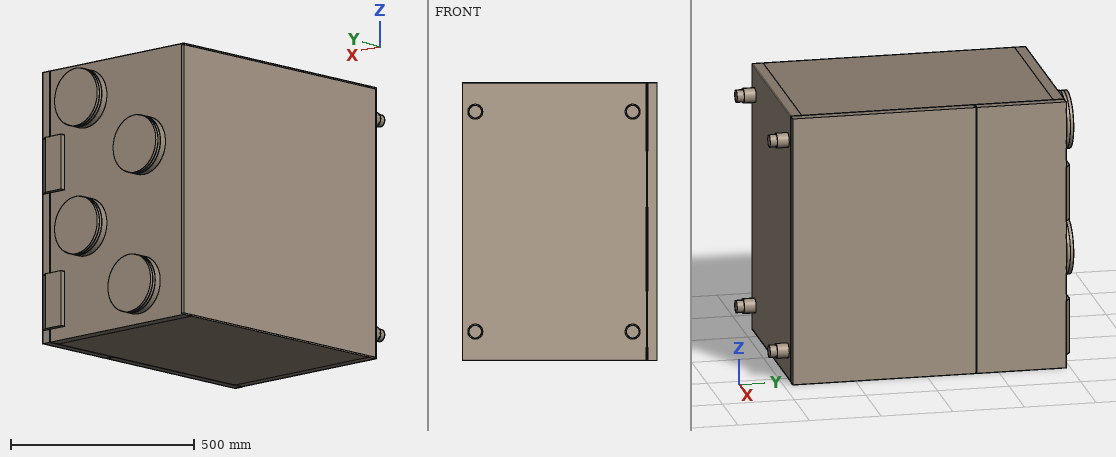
import cadquery as cq

overall_depth = 531.0
overall_length = 854.0
cabinet_width = 759.0
foot_length = 52.0
duct_length = 38.5
cabinet_length = overall_length - foot_length - duct_length

door_thickness = 26.0
door_gap = 3.0
upper_door_length = 249.0
housing_depth = overall_depth - door_thickness - door_gap
lower_door_length = cabinet_length - upper_door_length - door_gap

cap_thickness = 31.0
cap_edge_radius = 2.5
panel_thickness = 8.5
panel_border = 4.0

foot_collar_diameter = 41.0
foot_collar_length = 32.5
foot_tip_diameter = 34.0
foot_x_positions = (35.0, 465.0)
foot_edge_distance = 79.0
foot_z = cabinet_width / 2 - foot_edge_distance

duct_diameter = 160.5
duct_lip = 9.0
duct_groove_width = 9.0
duct_groove_depth = 1.0
duct_centers = ((370.0, 280.0), (149.5, 115.0), (370.0, -78.5), (169.0, -271.5))

block_height = 14.5
block_length = 81.0
block_bevel = 22.0
block_width = 154.0
block_setback = 2.0
block_end_x = overall_depth - block_setback
block_z_centers = (115.0, -266.5)


def box_between(x_range, y_range, z_range):
    """Box given by its limits along each axis."""
    sizes = [high - low for low, high in (x_range, y_range, z_range)]
    return (
        cq.Workplane("XY")
        .box(*sizes, centered=False)
        .translate((x_range[0], y_range[0], z_range[0]))
    )


def rod(x, z, y_start, diameter, length):
    """Cylinder that runs from y_start towards +Y."""
    return cq.Workplane(
        cq.Solid.makeCylinder(diameter / 2, length, cq.Vector(x, y_start, z), cq.Vector(0, 1, 0))
    )


def make_side_panel():
    """Thin panel flush with the -X side, bordered on all edges but the +Y one."""
    half_width = cabinet_width / 2 - panel_border
    return box_between(
        (0, panel_thickness), (panel_border, cabinet_length), (-half_width, half_width)
    )


def make_housing_slab(y_start, y_end):
    """Full-width stretch of the housing."""
    return box_between(
        (0, housing_depth), (y_start, y_end), (-cabinet_width / 2, cabinet_width / 2)
    )


def make_foot(x, z):
    """Stepped foot: a wide collar on the cap and a narrower tip."""
    tip = rod(x, z, -foot_length, foot_tip_diameter, foot_length)
    collar = rod(x, z, -foot_collar_length, foot_collar_diameter, foot_collar_length)
    return tip.union(collar)


def make_duct(x, z):
    """Duct spigot with a shallow groove behind its end lip."""
    groove_start = cabinet_length + duct_length - duct_lip - duct_groove_width
    groove_floor_diameter = duct_diameter - 2 * duct_groove_depth
    groove = rod(x, z, groove_start, duct_diameter, duct_groove_width).cut(
        rod(x, z, groove_start, groove_floor_diameter, duct_groove_width)
    )
    return rod(x, z, cabinet_length, duct_diameter, duct_length).cut(groove)


def make_block(z_center):
    """Low block on the +Y cap, bevelled towards +X."""
    top_y = cabinet_length + block_height
    return (
        cq.Workplane("XY")
        .moveTo(block_end_x - block_length, cabinet_length)
        .lineTo(block_end_x, cabinet_length)
        .lineTo(block_end_x - block_bevel, top_y)
        .lineTo(block_end_x - block_length, top_y)
        .close()
        .extrude(block_width)
        .translate((0, 0, z_center - block_width / 2))
    )


def make_foot_cap():
    """-Y end cap with rounded long edges, carrying the four feet."""
    cap = make_housing_slab(0, cap_thickness).faces("<Y").edges("|X").fillet(cap_edge_radius)
    cap = cap.cut(make_side_panel())
    for x in foot_x_positions:
        for z in (-foot_z, foot_z):
            cap = cap.union(make_foot(x, z))
    return cap


def make_duct_cap():
    """+Y end cap carrying the four duct spigots and the bevelled blocks."""
    cap = make_housing_slab(cabinet_length - cap_thickness, cabinet_length)
    cap = cap.cut(make_side_panel())
    for x, z in duct_centers:
        cap = cap.union(make_duct(x, z))
    for z in block_z_centers:
        cap = cap.union(make_block(z))
    return cap


def make_core():
    """Middle of the housing, between the two end caps."""
    slab = make_housing_slab(cap_thickness, cabinet_length - cap_thickness)
    return slab.cut(make_side_panel())


def make_door(y_start, length):
    """Plain door over the full cabinet width."""
    return box_between(
        (overall_depth - door_thickness, overall_depth),
        (y_start, y_start + length),
        (-cabinet_width / 2, cabinet_width / 2),
    )


side_panel = make_side_panel()
foot_cap = make_foot_cap()
duct_cap = make_duct_cap()
core = make_core()
doors = [
    make_door(y_start, length)
    for y_start, length in (
        (0, lower_door_length),
        (lower_door_length + door_gap, upper_door_length),
    )
]

result = cq.Compound.makeCompound(
    [
        core.val(),
        foot_cap.val(),
        duct_cap.val(),
        side_panel.val(),
        *[door.val() for door in doors],
    ]
)